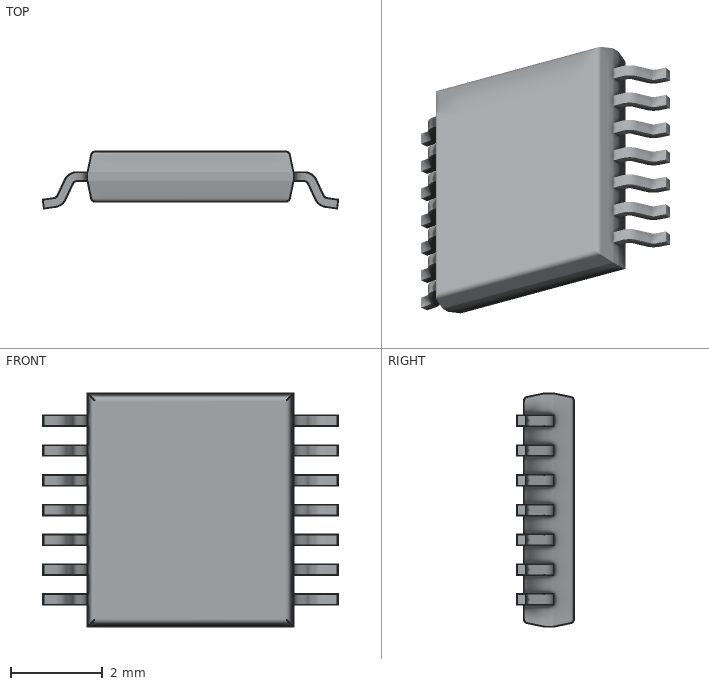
import cadquery as cq
import math

BODY_WIDTH = 4.5
BODY_LENGTH = 5.1
BODY_THICKNESS = 1.1
DRAFT_ANGLE = 11.7
FACE_EDGE_RADIUS = 0.1

LEADS_PER_SIDE = 7
LEAD_PITCH = 0.65
LEAD_WIDTH = 0.24
LEAD_THICKNESS = 0.2
LEAD_SPAN = 6.46
OVERALL_DEPTH = 1.25
LEG_ANGLE = 65.0
FOOT_ANGLE = 8.0
FOOT_LENGTH = 0.25
INNER_BEND_RADIUS = 0.1

BAND_THICKNESS = LEAD_THICKNESS
TAPER_DEPTH = (BODY_THICKNESS - BAND_THICKNESS) / 2


def make_body():
    """Straight central band with a tapered, round-edged slab on each side."""
    band = cq.Workplane("XZ").rect(BODY_WIDTH, BODY_LENGTH).extrude(BAND_THICKNESS / 2, both=True)
    tapered = (
        band.faces("<Y").wires().toPending().workplane().extrude(TAPER_DEPTH, taper=DRAFT_ANGLE)
        .faces(">Y").wires().toPending().workplane().extrude(TAPER_DEPTH, taper=DRAFT_ANGLE)
    )
    return tapered.faces("<Y or >Y").edges().fillet(FACE_EDGE_RADIUS)


def make_lead():
    """Gull-wing lead on the +X side, centred on Z = 0 and bent in the XY plane."""
    half_thickness = LEAD_THICKNESS / 2
    outer_radius = INNER_BEND_RADIUS + LEAD_THICKNESS
    mid_radius = INNER_BEND_RADIUS + half_thickness
    leg = math.radians(LEG_ANGLE)
    foot = math.radians(FOOT_ANGLE)

    tip_offset_x = half_thickness * math.sin(foot)
    tip_offset_y = half_thickness * math.cos(foot)
    tip_x = LEAD_SPAN / 2 - tip_offset_x
    tip_y = BODY_THICKNESS / 2 - OVERALL_DEPTH + tip_offset_y

    heel_x = tip_x - FOOT_LENGTH * math.cos(foot) + mid_radius * math.sin(foot)
    heel_y = tip_y + FOOT_LENGTH * math.sin(foot) + mid_radius * math.cos(foot)
    shoulder_y = -mid_radius
    leg_length = (shoulder_y - heel_y + 2 * mid_radius * math.cos(leg)) / math.sin(leg)
    shoulder_x = heel_x - leg_length * math.cos(leg) - 2 * mid_radius * math.sin(leg)

    def on_shoulder(radius, angle):
        return (shoulder_x + radius * math.sin(angle), shoulder_y + radius * math.cos(angle))

    def on_heel(radius, angle):
        return (heel_x - radius * math.sin(angle), heel_y - radius * math.cos(angle))

    mid_heel = (leg + foot) / 2
    root_x = BODY_WIDTH / 2
    profile = (
        cq.Workplane("XY")
        .moveTo(root_x, half_thickness)
        .lineTo(*on_shoulder(outer_radius, 0))
        .threePointArc(on_shoulder(outer_radius, leg / 2), on_shoulder(outer_radius, leg))
        .lineTo(*on_heel(INNER_BEND_RADIUS, leg))
        .threePointArc(on_heel(INNER_BEND_RADIUS, mid_heel), on_heel(INNER_BEND_RADIUS, foot))
        .lineTo(tip_x + tip_offset_x, tip_y + tip_offset_y)
        .lineTo(tip_x - tip_offset_x, tip_y - tip_offset_y)
        .lineTo(*on_heel(outer_radius, foot))
        .threePointArc(on_heel(outer_radius, mid_heel), on_heel(outer_radius, leg))
        .lineTo(*on_shoulder(INNER_BEND_RADIUS, leg))
        .threePointArc(on_shoulder(INNER_BEND_RADIUS, leg / 2), on_shoulder(INNER_BEND_RADIUS, 0))
        .lineTo(root_x, -half_thickness)
        .close()
    )
    return profile.extrude(LEAD_WIDTH / 2, both=True)


def add_leads(body):
    """Row of evenly pitched leads on the +X side, mirrored onto the -X side."""
    right_lead = make_lead()
    left_lead = right_lead.mirror("YZ")
    for index in range(LEADS_PER_SIDE):
        height = (index - (LEADS_PER_SIDE - 1) / 2) * LEAD_PITCH
        for lead in (right_lead, left_lead):
            body = body.union(lead.translate((0, 0, height)))
    return body


result = add_leads(make_body())